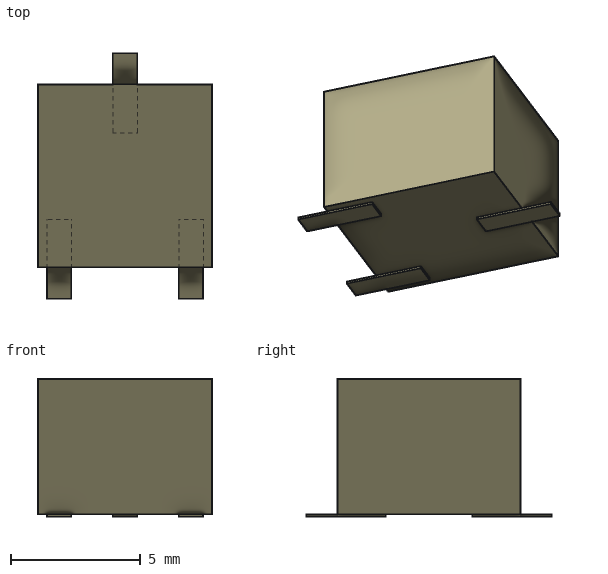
import cadquery as cq

overall_length = 9.46
overall_height = 5.31

housing_width = 6.71
housing_length = 7.05

lead_thickness = 0.09
lead_width = 0.95
lead_length = 3.065
lead_pitch = 2.54

housing_height = overall_height - lead_thickness
lead_center_y = (overall_length - lead_length) / 2

lead_positions = [
    (0, lead_center_y),
    (-lead_pitch, -lead_center_y),
    (lead_pitch, -lead_center_y),
]


def make_housing():
    """Plain block resting on the top faces of the leads."""
    block = cq.Workplane("XY").box(housing_width, housing_length, housing_height, centered=(True, True, False))
    return block.translate((0, 0, lead_thickness))


def make_lead(x, y):
    """Flat strip lying on Z = 0, centred at (x, y)."""
    strip = cq.Workplane("XY").box(lead_width, lead_length, lead_thickness, centered=(True, True, False))
    return strip.translate((x, y, 0))


housing = make_housing()
leads = [make_lead(x, y) for x, y in lead_positions]

result = cq.Compound.makeCompound([housing.val(), *[lead.val() for lead in leads]])